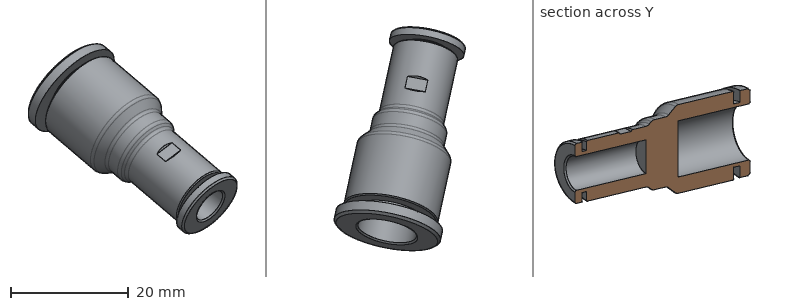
import cadquery as cq
import math

length = 35.85
big_flange_width = 18.5
big_flange_height = 16.0
big_flange_thickness = 2.15
big_flange_chamfer = 0.43
small_flange_width = 12.98
small_flange_height = 11.05
small_flange_thickness = 1.58
small_flange_chamfer = 0.32

big_neck_diameter = 11.7
small_neck_diameter = 7.6
big_body_diameter = 16.3
middle_diameter = 12.9
small_body_diameter = 11.2
body_start = 3.35
body_end = 33.5
body_end_chamfer = 0.2

big_step_start = 14.65
big_step_length = 2.7
small_step_start = 19.57
small_step_length = 1.75
step_angle = 41

tube_wall = 0.75
bore_chamfer = 0.3

flat_center = 25.45
flat_length = 2.15
flat_depth = 0.3

small_flange_start = length - small_flange_thickness
small_body_start = small_step_start + small_step_length


def add_step(profile, start, run, big_radius, small_radius):
    """Step down with a convex arc, a sloped line and a concave arc, all tangent to each other."""
    angle = math.radians(step_angle)
    drop = big_radius - small_radius
    arc_radius = (run * math.sin(angle) - drop * math.cos(angle)) / (2 * (1 - math.cos(angle)))

    def arc_offset(turn):
        return arc_radius * math.sin(turn), arc_radius * (1 - math.cos(turn))

    mid_run, mid_drop = arc_offset(angle / 2)
    arc_run, arc_drop = arc_offset(angle)
    stop = start + run
    return (
        profile.lineTo(start, big_radius)
        .threePointArc((start + mid_run, big_radius - mid_drop),
                       (start + arc_run, big_radius - arc_drop))
        .lineTo(stop - arc_run, small_radius + arc_drop)
        .threePointArc((stop - mid_run, small_radius + mid_drop), (stop, small_radius))
    )


def make_body():
    """Everything between the two flanges: necks, chamfered body and its two rounded steps."""
    big_radius = big_body_diameter / 2
    middle_radius = middle_diameter / 2
    small_radius = small_body_diameter / 2
    profile = (
        cq.Workplane("XY")
        .moveTo(big_flange_thickness, 0)
        .lineTo(big_flange_thickness, big_neck_diameter / 2)
        .lineTo(body_start, big_neck_diameter / 2)
        .lineTo(body_start, big_radius - body_end_chamfer)
        .lineTo(body_start + body_end_chamfer, big_radius)
    )
    profile = add_step(profile, big_step_start, big_step_length, big_radius, middle_radius)
    profile = add_step(profile, small_step_start, small_step_length, middle_radius, small_radius)
    profile = (
        profile.lineTo(body_end - body_end_chamfer, small_radius)
        .lineTo(body_end, small_radius - body_end_chamfer)
        .lineTo(body_end, small_neck_diameter / 2)
        .lineTo(small_flange_start, small_neck_diameter / 2)
        .lineTo(small_flange_start, 0)
        .close()
    )
    return profile.revolve(360, (0, 0, 0), (1, 0, 0))


def make_flange(start, thickness, width, height, chamfer, outer_face):
    """Elliptical plate across the X axis with its outer rim chamfered."""
    flange = (
        cq.Workplane("YZ", origin=(start, 0, 0))
        .ellipse(width / 2, height / 2)
        .extrude(thickness)
    )
    return flange.faces(outer_face).chamfer(chamfer)


def make_bore(end, inward, depth, diameter):
    """Blind bore with a conical lead-in; inward is +1 or -1 along X."""
    radius = diameter / 2
    return (
        cq.Workplane("XY")
        .moveTo(end, 0)
        .lineTo(end, radius + bore_chamfer)
        .lineTo(end + inward * bore_chamfer, radius)
        .lineTo(end + inward * depth, radius)
        .lineTo(end + inward * depth, 0)
        .close()
        .revolve(360, (0, 0, 0), (1, 0, 0))
    )


def make_flat_cutter():
    """Trapezoid prism along Y that leaves the flat and its sloped end walls."""
    top = small_body_diameter / 2
    half_length = flat_length / 2
    return (
        cq.Workplane("XZ")
        .moveTo(flat_center - half_length, top - flat_depth)
        .lineTo(flat_center + half_length, top - flat_depth)
        .lineTo(flat_center + half_length + flat_depth, top)
        .lineTo(flat_center - half_length - flat_depth, top)
        .close()
        .extrude(top, both=True)
    )


result = (
    make_body()
    .union(make_flange(0, big_flange_thickness, big_flange_width, big_flange_height,
                       big_flange_chamfer, "<X"))
    .union(make_flange(small_flange_start, small_flange_thickness, small_flange_width,
                       small_flange_height, small_flange_chamfer, ">X"))
    .cut(make_bore(0, 1, big_step_start, big_neck_diameter - 2 * tube_wall))
    .cut(make_bore(length, -1, length - small_body_start, small_neck_diameter - 2 * tube_wall))
    .cut(make_flat_cutter())
)